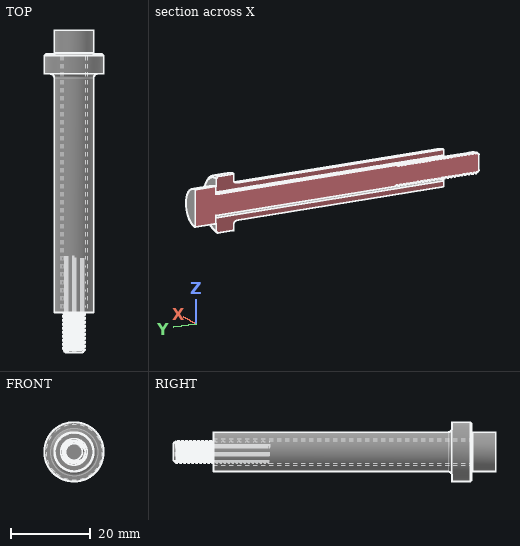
import cadquery as cq


TOTAL_LENGTH = 81.0

HEAD_DIA = 10.0
HEAD_LENGTH = 6.0
HEAD_SEAT_CHAMFER = 0.25
SCREW_LENGTH = TOTAL_LENGTH - HEAD_LENGTH
THREAD_DIA = 5.7
STUD_LENGTH = 10.05
STUD_TURNS = 10
THREAD_PITCH = STUD_LENGTH / STUD_TURNS
THREAD_DEPTH = 0.3
THREAD_LENGTH = 24.0
THREAD_OVERRUN = 2 * THREAD_PITCH
CREST_FLAT = 0.25
ROOT_FLAT = 0.3
CUTTER_CLEARANCE = 0.1
CREST_TO_TIP = 1.4
TIP_DIA = 4.2
TIP_CHAMFER_LENGTH = 0.8

SLEEVE_LENGTH = SCREW_LENGTH - STUD_LENGTH
SLEEVE_DIA = HEAD_DIA
SLEEVE_END_CHAMFER = 0.2
BORE_DIA = 6.65
COLLAR_DIA = 15.0
COLLAR_LENGTH = 5.0
COLLAR_CHAMFER = 0.5
COLLAR_FILLET = 1.0


def turned(profile):
    """Revolve a (radius, y) outline a full turn about the Y axis."""
    return cq.Workplane("XY").polyline(profile).close().revolve(360, (0, 0, 0), (0, 1, 0))


def thread_groove():
    """Helical trapezoid groove that leaves a right-hand thread on the screw."""
    crest_radius = THREAD_DIA / 2
    root_radius = crest_radius - THREAD_DEPTH
    root_half = ROOT_FLAT / 2
    crest_half = (THREAD_PITCH - CREST_FLAT) / 2
    outer_half = crest_half + CUTTER_CLEARANCE * (crest_half - root_half) / THREAD_DEPTH
    outer_radius = crest_radius + CUTTER_CLEARANCE

    start_y = -SCREW_LENGTH + CREST_TO_TIP + THREAD_PITCH / 2 - THREAD_OVERRUN
    end_y = -SCREW_LENGTH + THREAD_LENGTH

    helix = cq.Wire.makeHelix(THREAD_PITCH, end_y - start_y, crest_radius)
    groove = (
        cq.Workplane("XZ")
        .polyline([
            (root_radius, -root_half),
            (outer_radius, -outer_half),
            (outer_radius, outer_half),
            (root_radius, root_half),
        ])
        .close()
        .sweep(cq.Workplane(obj=helix), isFrenet=True)
    )
    return (
        groove
        .rotate((0, 0, 0), (1, 0, 0), -90)
        .rotate((0, 0, 0), (0, 1, 0), -90)
        .translate((0, start_y, 0))
    )


def make_screw():
    """Cap screw: plain cylindrical head, shank and threaded end."""
    head_radius = HEAD_DIA / 2
    shank_radius = THREAD_DIA / 2
    blank = turned([
        (0, HEAD_LENGTH),
        (head_radius, HEAD_LENGTH),
        (head_radius, HEAD_SEAT_CHAMFER),
        (head_radius - HEAD_SEAT_CHAMFER, 0),
        (shank_radius, 0),
        (shank_radius, -SCREW_LENGTH + TIP_CHAMFER_LENGTH),
        (TIP_DIA / 2, -SCREW_LENGTH),
        (0, -SCREW_LENGTH),
    ])
    return blank.cut(thread_groove()).solids()


def make_sleeve():
    """Sleeve with a clearance bore and a chamfered, filleted collar."""
    bore_radius = BORE_DIA / 2
    sleeve_radius = SLEEVE_DIA / 2
    collar_radius = COLLAR_DIA / 2
    return (
        cq.Workplane("XY")
        .moveTo(bore_radius, 0)
        .lineTo(collar_radius - COLLAR_CHAMFER, 0)
        .lineTo(collar_radius, -COLLAR_CHAMFER)
        .lineTo(collar_radius, -COLLAR_LENGTH)
        .lineTo(sleeve_radius + COLLAR_FILLET, -COLLAR_LENGTH)
        .radiusArc((sleeve_radius, -COLLAR_LENGTH - COLLAR_FILLET), -COLLAR_FILLET)
        .lineTo(sleeve_radius, -SLEEVE_LENGTH + SLEEVE_END_CHAMFER)
        .lineTo(sleeve_radius - SLEEVE_END_CHAMFER, -SLEEVE_LENGTH)
        .lineTo(bore_radius, -SLEEVE_LENGTH)
        .close()
        .revolve(360, (0, 0, 0), (0, 1, 0))
    )


screw = make_screw()
sleeve = make_sleeve()

result = cq.Compound.makeCompound([screw.val(), sleeve.val()])